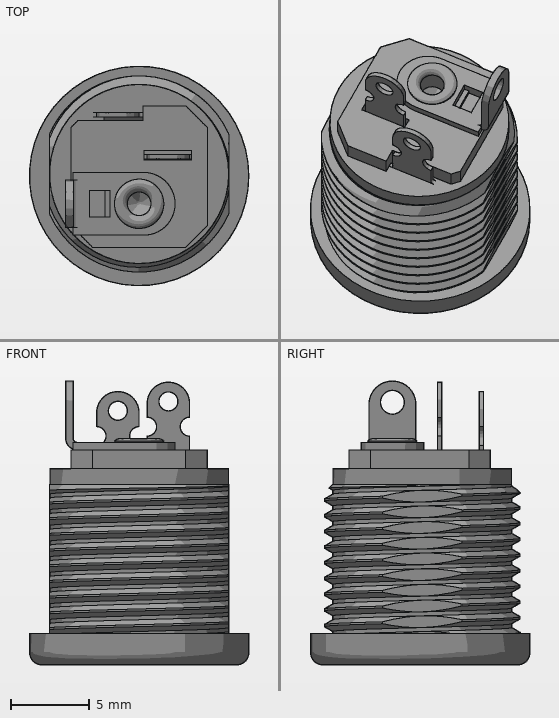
import cadquery as cq
import math


total_height = 18.1
flange_top = 2.01
thread_top = 11.51
collar_top = 12.5
plate_top = 13.7

flange_diameter = 14.0
flange_rounding = 0.8
thread_diameter = 12.5
thread_turns = 9.5
pitch = (thread_top - flange_top) / thread_turns
thread_depth = 5 / 8 * math.sqrt(3) / 2 * pitch
core_diameter = thread_diameter - 2 * thread_depth
flats_width = 11.44
collar_diameter = 11.4
barrel_shift_y = 0.13

plate_width = 8.69
plate_length = 9.01
plate_shift_y = -0.04
plate_corner = 1.38
notch_right_x = 0.25
notch_front_y = 3.55

lug_width = 2.72
lug_thickness = 0.29
lug_hole_diameter = 1.2
lug_hole_drop = 1.23
lug_waist_drop = 2.85
lug_foot_radius = 0.18
lug_root = collar_top - 0.18
rear_lug_x = -1.35
rear_lug_y = 3.9
rear_lug_top = 17.43
middle_lug_x = 1.86
middle_lug_y = 1.23
middle_lug_top = 18.03

slot_width = 3.04
slot_length = 0.62
slot_x = 1.83
slot_y = 1.32
recess_left_x = -2.25
recess_depth = 0.55

sheet = 0.49
terminal_y = -1.77
base_width = 4.0
base_left_x = -4.22
base_round_x = 0.29
tongue_width = 3.0
tongue_left_x = -4.69
bend_inner_radius = 0.25
tongue_hole_diameter = 1.5
tongue_hole_drop = 1.35
window_left_x = -3.17
window_right_x = -1.86
window_width = 1.68
window_depth = 0.72
window_ledge_x = -2.19

rivet_diameter = 3.15
rivet_seat_diameter = 3.0
rivet_hole_diameter = 1.5
rivet_height = 0.24
rivet_edge_height = 0.07
rivet_dip = 0.09
rivet_hole_depth = 1.45
drill_point_angle = 118


def block(x_range, y_range, z_range):
    """Axis-aligned box between the given pairs of coordinates."""
    sizes = [high - low for low, high in (x_range, y_range, z_range)]
    low_corner = (x_range[0], y_range[0], z_range[0])
    return cq.Workplane("XY").box(*sizes, centered=False).translate(low_corner)


def cylinder(diameter, bottom, top):
    """Upright cylinder on the Z axis."""
    return cq.Workplane("XY", origin=(0, 0, bottom)).circle(diameter / 2).extrude(top - bottom)


def make_thread():
    """Right-hand helical ridge, crest P/8 wide and root P/4 wide, chamfered at its top."""
    core_radius = core_diameter / 2
    thread_radius = thread_diameter / 2
    sink = 0.09
    half_crest = pitch / 16
    half_root = 3 / 8 * pitch
    half_sunk = half_root + sink * (half_root - half_crest) / thread_depth
    start = flange_top - pitch
    turns = math.ceil((thread_top - start) / pitch) + 1
    helix = cq.Wire.makeHelix(pitch, turns * pitch, core_radius)
    ridge = (
        cq.Workplane("XZ")
        .moveTo(core_radius - sink, -half_sunk)
        .lineTo(thread_radius, -half_crest)
        .lineTo(thread_radius, half_crest)
        .lineTo(core_radius - sink, half_sunk)
        .close()
        .sweep(cq.Workplane(helix), isFrenet=True)
        .rotate((0, 0, 0), (0, 0, 1), 90)
        .translate((0, 0, start))
    )
    envelope_diameter = thread_diameter + 0.18
    envelope = cylinder(envelope_diameter, flange_top, thread_top)
    envelope = envelope.faces(">Z").chamfer((envelope_diameter - core_diameter) / 2)
    half_flats = flats_width / 2
    flats = block(
        (-half_flats, half_flats),
        (-thread_diameter, thread_diameter),
        (0, total_height),
    )
    return ridge.intersect(envelope.intersect(flats))


def make_barrel():
    """Rounded flange, with the threaded barrel and plain collar slightly off its centre."""
    flange = cylinder(flange_diameter, 0, flange_top).faces("<Z").edges().fillet(flange_rounding)
    core = cylinder(core_diameter, flange_rounding, thread_top)
    collar = cylinder(collar_diameter, thread_top, collar_top)
    barrel = core.union(make_thread()).union(collar)
    return flange.union(barrel.translate((0, barrel_shift_y, 0)))


def make_plate():
    """Plate with cut corners, a notch for the rear lug and a slot for the middle lug."""
    plate = (
        cq.Workplane("XY", origin=(0, plate_shift_y, collar_top))
        .rect(plate_width, plate_length)
        .extrude(plate_top - collar_top)
        .edges("|Z")
        .chamfer(plate_corner)
    )
    notch = block((-plate_width, notch_right_x), (notch_front_y, plate_length), (collar_top, plate_top))
    slot = (
        cq.Workplane("XY", origin=(slot_x, slot_y, collar_top))
        .rect(slot_width, slot_length)
        .extrude(plate_top - collar_top)
    )
    return plate.cut(notch).cut(slot)


def make_lug_recess():
    """Recess sloping down and forward from the front face of the rear lug."""
    lug_front_y = rear_lug_y - lug_thickness / 2
    return (
        cq.Workplane("YZ", origin=(recess_left_x, 0, 0))
        .moveTo(lug_front_y, collar_top)
        .lineTo(notch_front_y, collar_top)
        .lineTo(notch_front_y, collar_top - recess_depth)
        .close()
        .extrude(notch_right_x - recess_left_x)
    )


def make_lug(x, y, top):
    """Round-topped lug with an eye, a waist and flared feet, facing along Y."""
    half = lug_width / 2
    foot = half + lug_foot_radius
    foot_bend = lug_foot_radius * (1 - math.sqrt(0.5))
    foot_top = collar_top + lug_foot_radius
    shoulder = top - half
    back_plane = cq.Workplane("XZ", origin=(x, y + lug_thickness / 2, 0))
    outline = (
        back_plane.moveTo(-foot, lug_root)
        .lineTo(-foot, collar_top)
        .threePointArc((-half - foot_bend, collar_top + foot_bend), (-half, foot_top))
        .lineTo(-half, shoulder)
        .threePointArc((0, top), (half, shoulder))
        .lineTo(half, foot_top)
        .threePointArc((half + foot_bend, collar_top + foot_bend), (foot, collar_top))
        .lineTo(foot, lug_root)
        .close()
        .extrude(lug_thickness)
    )
    waist_z = top - lug_waist_drop
    openings = (
        back_plane.pushPoints([(0, top - lug_hole_drop), (-half, waist_z), (half, waist_z)])
        .circle(lug_hole_diameter / 2)
        .extrude(lug_thickness)
    )
    return outline.cut(openings)


def make_terminal_base():
    """Flat sheet with one round end and a seat for the rivet."""
    half = base_width / 2
    return (
        cq.Workplane("XY", origin=(0, terminal_y, plate_top))
        .moveTo(base_left_x, -half)
        .lineTo(base_round_x, -half)
        .threePointArc((base_round_x + half, 0), (base_round_x, half))
        .lineTo(base_left_x, half)
        .close()
        .extrude(sheet)
        .cut(cylinder(rivet_seat_diameter, plate_top, plate_top + sheet).translate((0, terminal_y, 0)))
    )


def make_window():
    """Rectangular opening in the terminal, sunk into the plate except for a ledge at its right end."""
    top = plate_top + sheet
    y_range = (terminal_y - window_width / 2, terminal_y + window_width / 2)
    deep_part = block((window_left_x, window_ledge_x), y_range, (top - window_depth, top))
    ledge_part = block((window_ledge_x, window_right_x), y_range, (plate_top, top))
    return deep_part.union(ledge_part)


def make_tongue():
    """Upright round-ended tongue, bent up from the sheet of the terminal."""
    outer_radius = bend_inner_radius + sheet
    bend_x = tongue_left_x + outer_radius
    bend_z = plate_top + outer_radius
    diagonal = math.sqrt(0.5)
    half = tongue_width / 2
    strip = (
        cq.Workplane("XZ", origin=(0, terminal_y + half, 0))
        .moveTo(bend_x, plate_top)
        .threePointArc(
            (bend_x - outer_radius * diagonal, bend_z - outer_radius * diagonal),
            (tongue_left_x, bend_z),
        )
        .lineTo(tongue_left_x, total_height)
        .lineTo(tongue_left_x + sheet, total_height)
        .lineTo(tongue_left_x + sheet, bend_z)
        .threePointArc(
            (bend_x - bend_inner_radius * diagonal, bend_z - bend_inner_radius * diagonal),
            (bend_x, plate_top + sheet),
        )
        .close()
        .extrude(tongue_width)
    )
    side_plane = cq.Workplane("YZ", origin=(tongue_left_x, terminal_y, 0))
    shoulder = total_height - half
    round_end = (
        side_plane.moveTo(-half, plate_top)
        .lineTo(-half, shoulder)
        .threePointArc((0, total_height), (half, shoulder))
        .lineTo(half, plate_top)
        .close()
        .extrude(outer_radius)
    )
    hole = (
        side_plane.center(0, total_height - tongue_hole_drop)
        .circle(tongue_hole_diameter / 2)
        .extrude(sheet)
    )
    return strip.intersect(round_end).cut(hole)


def make_rivet():
    """Rounded ring, undercut at its outer edge and dipping towards its hole."""
    outer = rivet_diameter / 2
    seat = rivet_seat_diameter / 2
    inner = rivet_hole_diameter / 2
    base_top = plate_top + sheet
    return (
        cq.Workplane("XZ", origin=(0, terminal_y, 0))
        .moveTo(inner, plate_top)
        .lineTo(seat, plate_top)
        .lineTo(seat, base_top)
        .lineTo(outer, base_top + rivet_edge_height)
        .threePointArc(((inner + outer) / 2, base_top + rivet_height), (inner, base_top - rivet_dip))
        .close()
        .revolve(360, (0, 0), (0, 1))
    )


def make_rivet_hole():
    """Blind hole with a conical bottom."""
    radius = rivet_hole_diameter / 2
    mouth = plate_top + sheet + rivet_height
    floor = plate_top + sheet - rivet_hole_depth
    tip = floor - radius / math.tan(math.radians(drill_point_angle / 2))
    return (
        cq.Workplane("XZ", origin=(0, terminal_y, 0))
        .moveTo(0, tip)
        .lineTo(radius, floor)
        .lineTo(radius, mouth)
        .lineTo(0, mouth)
        .close()
        .revolve(360, (0, 0), (0, 1))
    )


result = (
    make_barrel()
    .cut(make_lug_recess())
    .union(make_plate())
    .union(make_lug(rear_lug_x, rear_lug_y, rear_lug_top))
    .union(make_lug(middle_lug_x, middle_lug_y, middle_lug_top))
    .union(make_terminal_base())
    .union(make_tongue())
    .union(make_rivet())
    .cut(make_window())
    .cut(make_rivet_hole())
)